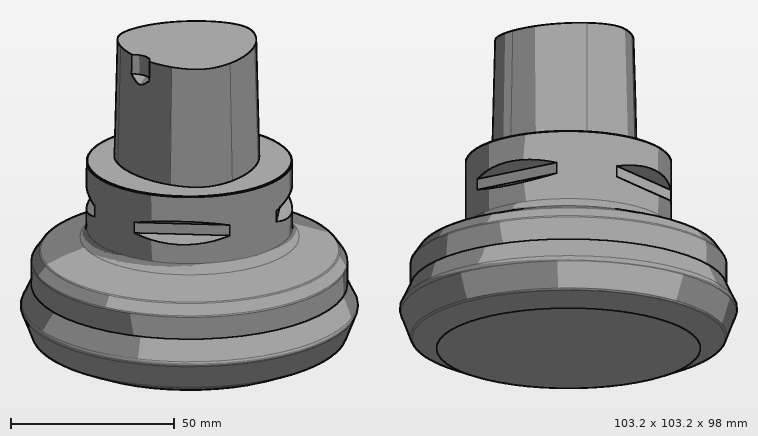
import cadquery as cq
import math

TOTAL_HEIGHT = 98.0
NECK_TOP = 59.9
SHOULDER_CONE_TOP_EDGE = 30.7
RIM_TOP = 27.0
SPLIT_HEIGHT = 19.6

RIM_RADIUS = 96.7 / 2
SHOULDER_RADIUS = 45.8
SHOULDER_SLOPE = 20.0
NECK_RADIUS = 63.0 / 2
NECK_FILLET = 3.1
NECK_EDGE_CHAMFER = 0.3
RIM_ROUND = 0.8

SHANK_MEAN_RADIUS = 22.2
LOBE_HEIGHT = 1.4
SHANK_TAPER = 1 / 20
FLAT_HALF_ANGLE = 23.5
POINTS_PER_FACE = 9

NOTCH_RADIUS = 5.1
NOTCH_AXIS_Y = -22.5
NOTCH_DEPTH = 6.3
NOTCH_TIP_SLOPE = 40.0

GROOVE_COUNT = 4
GROOVE_FIRST_ANGLE = 45.0
GROOVE_HEIGHT = 47.9
GROOVE_FLOOR_DISTANCE = 27.9
GROOVE_FLOOR_WIDTH = 3.4
GROOVE_WALL_SLOPE = 30.0
GROOVE_OVERRUN = 2.1

RING_RADIUS = 51.6
CREST_HEIGHT = 12.6
CREST_HALF_WIDTH = 0.8
CREST_EDGE_DROP = 0.3
RING_HEEL_RADIUS = 48.2
RING_HEEL_HEIGHT = 3.6
RING_HEEL_ROUND = 1.0
RING_BOTTOM_RADIUS = 40.4


def holder_base():
    """Turned flange and neck."""
    cone_rise = (SHOULDER_RADIUS - NECK_RADIUS) * math.tan(math.radians(SHOULDER_SLOPE))
    cone_top = SHOULDER_CONE_TOP_EDGE + cone_rise
    base = (
        cq.Workplane("XZ")
        .moveTo(0, SPLIT_HEIGHT)
        .lineTo(RIM_RADIUS, SPLIT_HEIGHT)
        .lineTo(RIM_RADIUS, RIM_TOP)
        .lineTo(SHOULDER_RADIUS, SHOULDER_CONE_TOP_EDGE)
        .lineTo(NECK_RADIUS, cone_top)
        .lineTo(NECK_RADIUS, NECK_TOP)
        .lineTo(0, NECK_TOP)
        .close()
        .revolve(360, (0, 0, 0), (0, 1, 0))
    )

    def circle_at(radius, height):
        margin = 0.05
        return cq.selectors.BoxSelector(
            (-radius - margin, -radius - margin, height - margin),
            (radius + margin, radius + margin, height + margin),
            boundingbox=True,
        )

    base = base.edges(circle_at(NECK_RADIUS, cone_top)).fillet(NECK_FILLET)
    base = base.edges(circle_at(RIM_RADIUS, RIM_TOP)).fillet(RIM_ROUND)
    base = base.edges(circle_at(SHOULDER_RADIUS, SHOULDER_CONE_TOP_EDGE)).fillet(RIM_ROUND)
    return base.faces(">Z").edges().chamfer(NECK_EDGE_CHAMFER)


def lobed_point(mean_radius, angle, height):
    """Point of a three-lobed polygon curve with one lobe toward +Y; angle is measured from +Y."""
    along = (
        mean_radius * math.cos(angle)
        + LOBE_HEIGHT * (2 * math.cos(2 * angle) - math.cos(4 * angle))
    )
    across = (
        mean_radius * math.sin(angle)
        - LOBE_HEIGHT * (2 * math.sin(2 * angle) + math.sin(4 * angle))
    )
    return cq.Vector(-across, along, height)


def lobed_wire(mean_radius, height):
    """Closed polygon curve made of alternating lobes and flatter faces."""
    lobe_half_angle = 60 - FLAT_HALF_ANGLE
    edges = []
    for lobe in range(3):
        lobe_center = 120 * lobe
        spans = (
            (lobe_center - lobe_half_angle, lobe_center + lobe_half_angle),
            (lobe_center + lobe_half_angle, lobe_center + 120 - lobe_half_angle),
        )
        for start, end in spans:
            step = (end - start) / (POINTS_PER_FACE - 1)
            angles = [math.radians(start + step * i) for i in range(POINTS_PER_FACE)]
            points = [lobed_point(mean_radius, angle, height) for angle in angles]
            edges.append(cq.Edge.makeSpline(points))
    return cq.Wire.assembleEdges(edges)


def shank():
    """Lobed shank tapering up from the neck."""
    shank_length = TOTAL_HEIGHT - NECK_TOP
    top_mean_radius = SHANK_MEAN_RADIUS - SHANK_TAPER * shank_length / 2
    wires = [lobed_wire(SHANK_MEAN_RADIUS, NECK_TOP), lobed_wire(top_mean_radius, TOTAL_HEIGHT)]
    return cq.Workplane(obj=cq.Solid.makeLoft(wires, True))


def notch_cutter():
    """Drill shape with a conical tip, on a vertical axis beside the shank."""
    notch_floor = TOTAL_HEIGHT - NOTCH_DEPTH
    tip_length = NOTCH_RADIUS * math.tan(math.radians(NOTCH_TIP_SLOPE))
    return (
        cq.Workplane("XZ", origin=(0, NOTCH_AXIS_Y, 0))
        .moveTo(0, notch_floor - tip_length)
        .lineTo(NOTCH_RADIUS, notch_floor)
        .lineTo(NOTCH_RADIUS, TOTAL_HEIGHT)
        .lineTo(0, TOTAL_HEIGHT)
        .close()
        .revolve(360, (0, 0, 0), (0, 1, 0))
    )


def groove_cutter(angle):
    """Straight groove with flaring walls, cut across the neck on the side facing the angle."""
    mouth_distance = NECK_RADIUS + GROOVE_OVERRUN
    flare = (mouth_distance - GROOVE_FLOOR_DISTANCE) * math.tan(math.radians(GROOVE_WALL_SLOPE))
    floor_half = GROOVE_FLOOR_WIDTH / 2
    mouth_half = floor_half + flare
    return (
        cq.Workplane("XZ")
        .polyline([
            (GROOVE_FLOOR_DISTANCE, GROOVE_HEIGHT - floor_half),
            (mouth_distance, GROOVE_HEIGHT - mouth_half),
            (mouth_distance, GROOVE_HEIGHT + mouth_half),
            (GROOVE_FLOOR_DISTANCE, GROOVE_HEIGHT + floor_half),
        ])
        .close()
        .extrude(NECK_RADIUS, both=True)
        .rotate((0, 0, 0), (0, 0, 1), angle)
    )


def make_holder():
    """Flange, neck and shank in one piece, with the notch and grooves cut."""
    holder = holder_base().union(shank()).cut(notch_cutter())
    for i in range(GROOVE_COUNT):
        holder = holder.cut(groove_cutter(GROOVE_FIRST_ANGLE + i * 360 / GROOVE_COUNT))
    return holder


def make_cutting_ring():
    """Turned disc under the holder, with a rounded crest at its widest point."""
    crest_edge_radius = RING_RADIUS - CREST_EDGE_DROP
    ring = (
        cq.Workplane("XZ")
        .lineTo(RING_BOTTOM_RADIUS, 0)
        .lineTo(RING_HEEL_RADIUS, RING_HEEL_HEIGHT)
        .lineTo(crest_edge_radius, CREST_HEIGHT - CREST_HALF_WIDTH)
        .threePointArc(
            (RING_RADIUS, CREST_HEIGHT),
            (crest_edge_radius, CREST_HEIGHT + CREST_HALF_WIDTH),
        )
        .lineTo(RIM_RADIUS, SPLIT_HEIGHT)
        .lineTo(0, SPLIT_HEIGHT)
        .close()
        .revolve(360, (0, 0, 0), (0, 1, 0))
    )
    heel_edge = cq.selectors.BoxSelector(
        (-RING_RADIUS, -RING_RADIUS, RING_HEEL_HEIGHT / 2),
        (RING_RADIUS, RING_RADIUS, RING_HEEL_HEIGHT * 3 / 2),
        boundingbox=True,
    )
    return ring.edges(heel_edge).fillet(RING_HEEL_ROUND)


holder = make_holder()
cutting_ring = make_cutting_ring()

result = cq.Compound.makeCompound([holder.solids().val(), cutting_ring.solids().val()])